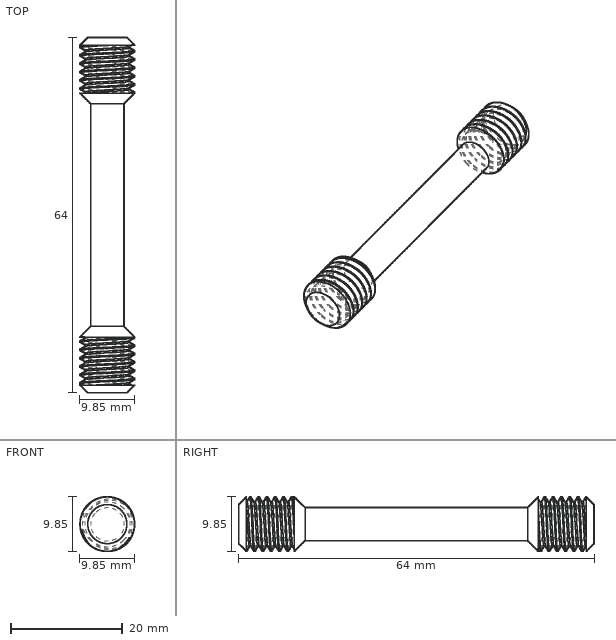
import cadquery as cq
import math

length = 64.0
shank_radius = 6.0 / 2
thread_radius = 9.85 / 2
root_radius = 8.1 / 2

tip_chamfer = 1.4
thread_length = 8.65
neck_length = thread_radius - shank_radius
head_length = tip_chamfer + thread_length + neck_length

nominal_diameter = 10.0
pitch_ratio = 0.15
pitch = pitch_ratio * nominal_diameter
crest_flat = 0.2
flank_slope = math.tan(math.radians(30))
crest_depth_from_tip = 2.5
groove_overshoot = 0.1
run_out_turns = 2
groove_turns = 10
bar_margin_turns = 5

tip_z = length / 2
thread_top = tip_z - tip_chamfer
thread_bottom = thread_top - thread_length


def thread_groove():
    """Helical cutter with a trapezoid section, longer than the thread at both ends."""
    crest_half_width = (pitch - crest_flat) / 2
    root_half_width = crest_half_width - (thread_radius - root_radius) * flank_slope
    outer_half_width = crest_half_width + groove_overshoot * flank_slope
    outer_radius = thread_radius + groove_overshoot

    tip_groove_z = tip_z - crest_depth_from_tip + pitch / 2
    start_z = tip_groove_z - (groove_turns - run_out_turns) * pitch

    path = cq.Wire.makeHelix(pitch, groove_turns * pitch, root_radius, cq.Vector(0, 0, start_z))
    return (
        cq.Workplane("XZ")
        .moveTo(root_radius, start_z - root_half_width)
        .lineTo(outer_radius, start_z - outer_half_width)
        .lineTo(outer_radius, start_z + outer_half_width)
        .lineTo(root_radius, start_z + root_half_width)
        .close()
        .sweep(cq.Workplane(obj=path), isFrenet=True)
    )


def threaded_section():
    """Thread a longer bar, then keep only the stretch between the two cones, which stay whole."""
    bar_margin = bar_margin_turns * pitch
    bar_length = thread_length + 2 * bar_margin
    bar_bottom = thread_bottom - bar_margin
    bar = cq.Workplane("XY").workplane(offset=bar_bottom).circle(thread_radius).extrude(bar_length)
    kept_width = 4 * thread_radius
    kept_stretch = (
        cq.Workplane("XY").workplane(offset=thread_bottom).rect(kept_width, kept_width).extrude(thread_length)
    )
    return bar.cut(thread_groove()).intersect(kept_stretch)


def cone(bottom_radius, top_radius, bottom_z, height):
    return cq.Workplane(obj=cq.Solid.makeCone(bottom_radius, top_radius, height, cq.Vector(0, 0, bottom_z)))


def threaded_head():
    tip = cone(thread_radius, thread_radius - tip_chamfer, thread_top, tip_chamfer)
    neck = cone(shank_radius, thread_radius, tip_z - head_length, neck_length)
    return threaded_section().union(tip).union(neck)


shank_length = length - 2 * head_length
shank = cq.Workplane("XY").workplane(offset=-shank_length / 2).circle(shank_radius).extrude(shank_length)
head = threaded_head()
opposite_head = head.rotate((0, 0, 0), (1, 0, 0), 180)
stud = shank.union(head).union(opposite_head)

result = stud.rotate((0, 0, 0), (1, 0, 0), -90)